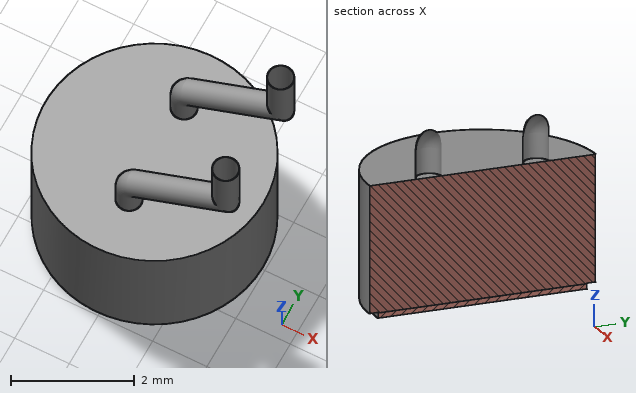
import cadquery as cq
import math

overall_height = 4.9
housing_diameter = 4.0
housing_height = 2.2
base_diameter = 3.7
base_height = 0.1
housing_top = base_height + housing_height

lead_diameter = 0.45
lead_wall = 0.01
lead_radius = lead_diameter / 2
lead_spacing = 1.9
stub_x = 0.04
stub_height = 0.44
tip_x = 1.815
bend_angle = 60.0

bend_z = housing_top + stub_height
pivot_x = stub_x + lead_radius
tilt = math.radians(bend_angle)
slope_start_x = pivot_x - lead_radius * math.cos(tilt)
slope_start_z = bend_z + lead_radius * math.sin(tilt)
miter_z = slope_start_z + (tip_x - slope_start_x) / math.tan(tilt)


def make_base():
    return cq.Workplane("XY").circle(base_diameter / 2).extrude(base_height)


def make_lead_rod(radius, y):
    """Solid rod along the lead's centreline: stub, bend, slope and mitred upright tip."""
    stub = cq.Workplane("XY", origin=(stub_x, y, housing_top)).circle(radius).extrude(stub_height)
    bend = (
        cq.Workplane("XY", origin=(stub_x, y, bend_z))
        .circle(radius)
        .revolve(bend_angle, (lead_radius, 0, 0), (lead_radius, 1, 0))
    )
    centreline = cq.Workplane("XZ", origin=(0, y, 0)).polyline(
        [(slope_start_x, slope_start_z), (tip_x, miter_z), (tip_x, overall_height)]
    )
    slope_direction = (math.sin(tilt), 0, math.cos(tilt))
    slope_plane = cq.Plane(
        origin=(slope_start_x, y, slope_start_z), xDir=(0, 1, 0), normal=slope_direction
    )
    slope_and_tip = cq.Workplane(slope_plane).circle(radius).sweep(centreline, transition="right")
    return stub.union(bend).union(slope_and_tip)


def make_lead(y):
    """Lead with a bore that follows its bends and is open at the tip."""
    return make_lead_rod(lead_radius, y).cut(make_lead_rod(lead_radius - lead_wall, y))


def make_housing():
    """Cylindrical housing with both leads formed on its top face."""
    housing = (
        cq.Workplane("XY", origin=(0, 0, base_height))
        .circle(housing_diameter / 2)
        .extrude(housing_height)
    )
    for side in (-1, 1):
        housing = housing.union(make_lead(side * lead_spacing / 2))
    return housing


base = make_base()
housing = make_housing()

result = cq.Compound.makeCompound([base.val(), housing.solids().val()])